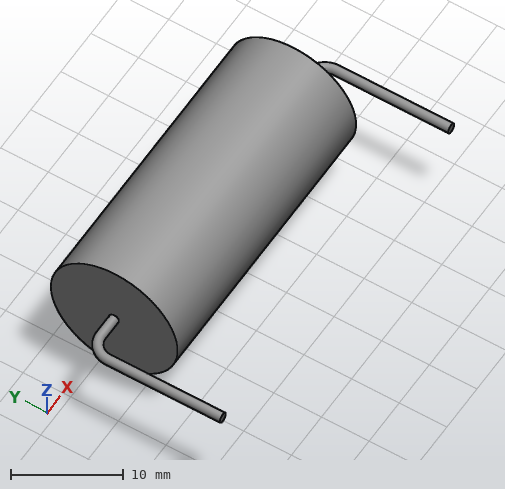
import cadquery as cq

body_length = 29.7
body_diameter = 13.32

overall_length = 38.95
wire_diameter = 1.0
bend_radius = 2.0
lead_reach = 14.03

wire_radius = wire_diameter / 2
leg_x = overall_length / 2 - wire_radius


def make_body():
    return (
        cq.Workplane("YZ", origin=(-body_length / 2, 0, 0))
        .circle(body_diameter / 2)
        .extrude(body_length)
    )


def make_lead():
    """Lead at the +X end: out along the body axis, then bent towards -Y."""
    start_x = body_length / 2 - wire_diameter
    bend_start_x = leg_x - bend_radius
    path = (
        cq.Workplane("XY")
        .moveTo(start_x, 0)
        .lineTo(bend_start_x, 0)
        .tangentArcPoint((leg_x, -bend_radius), relative=False)
        .lineTo(leg_x, -lead_reach)
    )
    return cq.Workplane("YZ", origin=(start_x, 0, 0)).circle(wire_radius).sweep(path)


lead = make_lead()
result = make_body().union(lead).union(lead.mirror("YZ"))